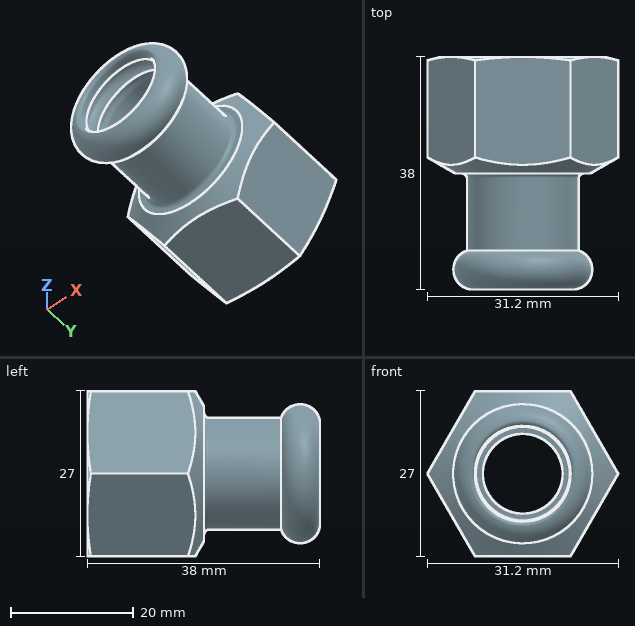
import cadquery as cq
import math

total_length = 38.0

across_flats = 27.0
across_corners = across_flats / math.cos(math.radians(30))
hex_front = 18.92
front_face_diameter = 22.0
front_chamfer_angle = 30
back_chamfer_angle = 15

neck_diameter = 18.3
neck_fillet = 0.75
bead_diameter = 22.75
bead_center = 3.23
bead_end = 6.4

mouth_diameter = 15.7
mouth_fillet = 0.75
socket_diameter = 15.3
socket_depth = hex_front
socket_floor_fillet = 0.35
through_diameter = 13.0

groove_diameter = 18.62
groove_start = 1.8
groove_end = 4.67
groove_shoulder_end = 5.55
socket_start = 6.4


def revolve_about_y(profile):
    return profile.close().revolve(360, (0, 0, 0), (0, 1, 0))


def hexagon():
    """Hexagonal prism with conical chamfers on both ends."""
    prism = (
        cq.Workplane("XZ", origin=(0, hex_front, 0))
        .polygon(6, across_corners)
        .extrude(-(total_length - hex_front))
    )
    front_radius = front_face_diameter / 2
    flat_radius = across_flats / 2
    outer_radius = across_corners / 2 + 0.38
    front_drop = (outer_radius - front_radius) * math.tan(math.radians(front_chamfer_angle))
    back_drop = (outer_radius - flat_radius) * math.tan(math.radians(back_chamfer_angle))
    envelope = revolve_about_y(
        cq.Workplane("XY")
        .moveTo(0, hex_front)
        .lineTo(front_radius, hex_front)
        .lineTo(outer_radius, hex_front + front_drop)
        .lineTo(outer_radius, total_length - back_drop)
        .lineTo(flat_radius, total_length)
        .lineTo(0, total_length)
    )
    return prism.intersect(envelope)


def neck_and_bead():
    """Solid neck with a bulging bead at the mouth and a fillet at the hexagon."""
    neck_radius = neck_diameter / 2
    mouth_edge_radius = mouth_diameter / 2 + mouth_fillet
    overlap = 0.38
    return revolve_about_y(
        cq.Workplane("XY")
        .lineTo(mouth_edge_radius, 0)
        .threePointArc((bead_diameter / 2, bead_center), (neck_radius, bead_end))
        .lineTo(neck_radius, hex_front - neck_fillet)
        .radiusArc((neck_radius + neck_fillet, hex_front), neck_fillet)
        .lineTo(neck_radius + neck_fillet, hex_front + overlap)
        .lineTo(0, hex_front + overlap)
    )


def bore():
    """Rounded mouth, sealing groove, socket and the smaller through hole."""
    mouth_radius = mouth_diameter / 2
    socket_radius = socket_diameter / 2
    floor_radius = socket_radius - socket_floor_fillet
    through_radius = through_diameter / 2
    return revolve_about_y(
        cq.Workplane("XY")
        .lineTo(mouth_radius + mouth_fillet, 0)
        .radiusArc((mouth_radius, mouth_fillet), mouth_fillet)
        .lineTo(mouth_radius, groove_start)
        .threePointArc((groove_diameter / 2, bead_center), (mouth_radius, groove_end))
        .lineTo(mouth_radius, groove_shoulder_end)
        .lineTo(socket_radius, socket_start)
        .lineTo(socket_radius, socket_depth - socket_floor_fillet)
        .radiusArc((floor_radius, socket_depth), -socket_floor_fillet)
        .lineTo(through_radius, socket_depth)
        .lineTo(through_radius, total_length)
        .lineTo(0, total_length)
    )


result = hexagon().union(neck_and_bead()).cut(bore())